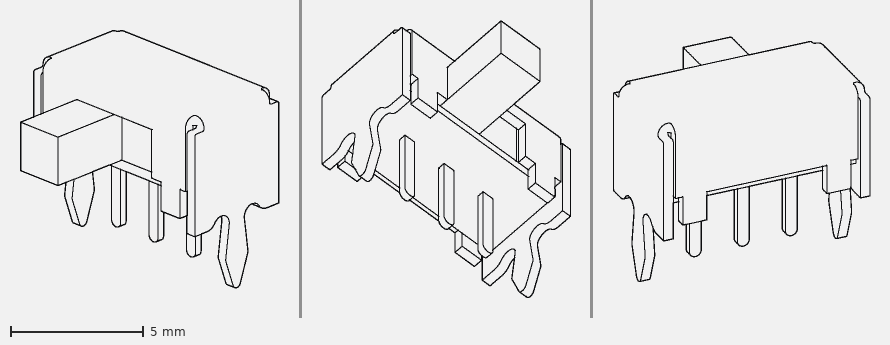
import cadquery as cq
import math


cover_length = 8.6
cover_depth = 4.5
cover_height = 3.0
wall = 0.4
corner_relief = 0.5
slit_width = corner_relief - wall
small_radius = slit_width
cavity_length = cover_length - 2 * wall
cavity_depth = cover_depth - 2 * wall
cavity_height = cover_height - wall

window_length = 4.0
window_height = 2.0

tab_width = 1.0
tab_drop = 1.2
tab_x = 3.0

end_drop = 1.7
prong_bottom = -4.5
notch_radius = 0.42
notch_y = 0.825
notch_z = -1.71
notch_edge_radius = 0.5
shoulder_half_width = 0.6
shoulder_z = -3.19
shoulder_radius = 0.26
prong_tip_radius = 0.21

base_thickness = 0.4

slider_travel = window_length / 2
knob_width = window_length - slider_travel
knob_reach = 3.0
carriage_length = cavity_length - slider_travel
slider_x = -slider_travel / 2

terminal_pitch = slider_travel
terminal_width = 0.5
terminal_thickness = 0.3
terminal_bottom = -3.9


def tangent_point(center, radius, outside_point, side):
    """Point where a line from outside_point touches a circle; side is +1 or -1."""
    dy = outside_point[0] - center[0]
    dz = outside_point[1] - center[1]
    angle = math.atan2(dz, dy) + side * math.acos(radius / math.hypot(dy, dz))
    return point_on_circle(center, radius, angle)


def point_on_circle(center, radius, angle):
    """Point of a circle at an angle measured from +Y towards +Z."""
    return (center[0] + radius * math.cos(angle), center[1] + radius * math.sin(angle))


def half_end_wall():
    """The +Y half of the end wall on -X: its outline in YZ, extruded by the wall thickness."""
    half_depth = cover_depth / 2
    ledge_z = cover_height - corner_relief
    tongue_y = half_depth - corner_relief

    notch_center = (notch_y, notch_z)
    shoulder = (shoulder_half_width, shoulder_z)
    tip_center = (0, prong_bottom + prong_tip_radius)
    tip_start = tangent_point(tip_center, prong_tip_radius, shoulder, -1)
    tip_start_angle = math.atan2(tip_start[1] - tip_center[1], tip_start[0])
    tip_middle_angle = (tip_start_angle - math.pi / 2) / 2
    tip_middle = point_on_circle(tip_center, prong_tip_radius, tip_middle_angle)
    notch_start = tangent_point(notch_center, notch_radius, shoulder, -1)
    notch_top = (notch_y, notch_z + notch_radius)

    center_distance = notch_radius + notch_edge_radius
    edge_center_z = notch_edge_radius - end_drop
    lead_angle = math.asin((edge_center_z - notch_z) / center_distance)
    edge_center = point_on_circle(notch_center, center_distance, lead_angle)
    notch_end = point_on_circle(notch_center, notch_radius, lead_angle)
    leave_angle = lead_angle + math.pi
    bottom_angle = 1.5 * math.pi
    edge_middle_angle = (leave_angle + bottom_angle) / 2
    edge_middle = point_on_circle(edge_center, notch_edge_radius, edge_middle_angle)

    half = (
        cq.Workplane("YZ", origin=(-cover_length / 2, 0, 0))
        .moveTo(0, prong_bottom)
        .threePointArc(tip_middle, tip_start)
        .lineTo(*shoulder)
        .lineTo(*notch_start)
        .threePointArc(notch_top, notch_end)
        .threePointArc(edge_middle, (edge_center[0], -end_drop))
        .lineTo(half_depth, -end_drop)
        .lineTo(half_depth, ledge_z)
        .lineTo(tongue_y, ledge_z)
        .lineTo(tongue_y, cover_height)
        .lineTo(0, cover_height)
        .close()
        .extrude(wall)
    )

    def edge_along_x(y, z):
        return cq.selectors.NearestToPointSelector((-cover_length / 2 + wall / 2, y, z))

    half = half.edges(edge_along_x(*shoulder)).fillet(shoulder_radius)
    half = half.edges(edge_along_x(half_depth, ledge_z)).fillet(small_radius)
    return half.edges(edge_along_x(tongue_y, ledge_z)).fillet(small_radius)


def end_wall():
    """The end wall on -X, bent into the top along a rounded edge."""
    half = half_end_wall()
    whole = half.union(half.mirror("XZ")).clean()
    corner = (
        cq.Workplane("XZ", origin=(0, cover_depth / 2, 0))
        .moveTo(-cover_length / 2, cover_height - wall)
        .radiusArc((-cover_length / 2 + wall, cover_height), wall)
        .lineTo(-cover_length / 2, cover_height)
        .close()
        .extrude(cover_depth)
    )
    return whole.cut(corner)


def corner_slits():
    """Gaps between the bent walls at the four corners, each ending in a rounded corner."""
    end_y = corner_relief - cover_depth / 2
    slit_end_x = slit_width - cavity_length / 2
    slit = (
        cq.Workplane("XY")
        .moveTo(-cavity_length / 2, -cover_depth / 2)
        .lineTo(slit_end_x, -cover_depth / 2)
        .lineTo(slit_end_x, end_y - small_radius)
        .radiusArc((-cavity_length / 2, end_y), -small_radius)
        .close()
        .extrude(cover_height)
    )
    pair = slit.union(slit.mirror("YZ"))
    return pair.union(pair.mirror("XZ"))


def make_cover():
    """Folded sheet-metal shell: top, windowed front, back with tabs, and two end walls."""
    cover = (
        cq.Workplane("XY")
        .box(cavity_length, cover_depth, cover_height, centered=(True, True, False))
        .edges("|X and >Z")
        .fillet(wall)
    )
    cavity = cq.Workplane("XY").box(
        cavity_length, cavity_depth, cavity_height, centered=(True, True, False)
    )
    cover = cover.cut(cavity).cut(corner_slits())

    window = (
        cq.Workplane("XY")
        .box(window_length, wall, window_height, centered=(True, False, False))
        .translate((0, -cover_depth / 2, 0))
    )
    cover = cover.cut(window)

    wall_y = (cover_depth - wall) / 2
    tabs = (
        cq.Workplane("XY")
        .rect(2 * tab_x, 2 * wall_y, forConstruction=True)
        .vertices()
        .rect(tab_width, wall)
        .extrude(-tab_drop)
    )
    end = end_wall()
    return cover.union(tabs).union(end).union(end.mirror("YZ"))


def make_base():
    """Flat plate that closes the cover from below, between the end walls and the tabs."""
    return (
        cq.Workplane("XY")
        .box(cavity_length, cavity_depth, base_thickness, centered=(True, True, False))
        .translate((0, 0, -base_thickness))
    )


def make_slider():
    """Carriage inside the cover with the knob that passes through the window, at the -X stop."""
    carriage = cq.Workplane("XY").box(
        carriage_length, cavity_depth, cavity_height, centered=(True, True, False)
    )
    knob_length = knob_reach + wall
    knob = (
        cq.Workplane("XY")
        .box(knob_width, knob_length, window_height, centered=(True, False, False))
        .translate((0, -cavity_depth / 2 - knob_length, 0))
    )
    return carriage.union(knob).translate((slider_x, 0, 0))


def make_terminal(x):
    """Flat pin under the base with a fully rounded tip."""
    radius = terminal_width / 2
    tip_center_z = terminal_bottom + radius
    return (
        cq.Workplane("XZ", origin=(x, terminal_thickness / 2, 0))
        .moveTo(-radius, -base_thickness)
        .lineTo(-radius, tip_center_z)
        .threePointArc((0, terminal_bottom), (radius, tip_center_z))
        .lineTo(radius, -base_thickness)
        .close()
        .extrude(terminal_thickness)
    )


cover = make_cover()
base = make_base()
slider = make_slider()
terminals = [make_terminal(place * terminal_pitch) for place in (-1, 0, 1)]

result = cq.Compound.makeCompound(
    [cover.val(), base.val(), slider.val(), *[terminal.val() for terminal in terminals]]
)